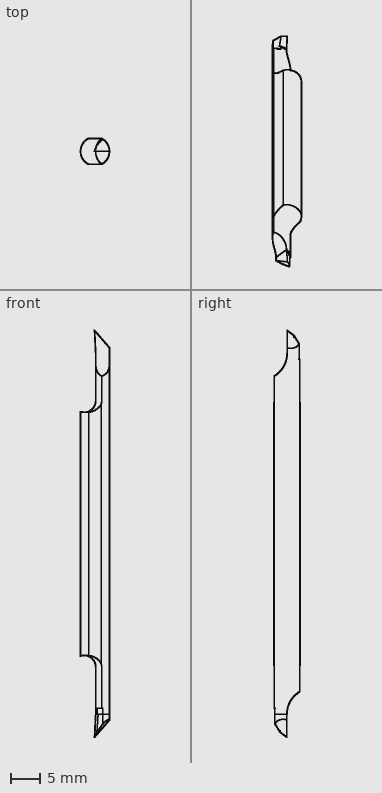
import cadquery as cq
import math

half_length = 35.0
bar_radius = 2.5
flat_y = 2.25

shoulder_z = 20.9
neck_face_x = 0.1
groove_radius = 1.95
neck_radius = 2.9
neck_center_x = neck_face_x + neck_radius

rake_end_z = 31.0
rake_runout_radius = 4.5

tip_base_z = rake_end_z
tip_x = -0.1
back_edge_z = 32.0
clearance = math.radians(18)
heel_start = (0.31, 1.15)
heel_end = (1.38, 2.15)
heel_base_z = 30.0

margin = 5.0


def bar_section(bottom_z, top_z):
    """Round bar with two side flats between two heights."""
    height = top_z - bottom_z
    rod = cq.Workplane("XY").workplane(offset=bottom_z).circle(bar_radius).extrude(height)
    flats = (
        cq.Workplane("XY").workplane(offset=bottom_z)
        .rect(4 * bar_radius, 2 * flat_y).extrude(height)
    )
    return rod.intersect(flats)


def neck_envelope():
    """Turned shape that keeps the neck, bounded below by a round-bottomed groove that forms the shoulder."""
    groove_top_z = shoulder_z + groove_radius
    groove_outer = neck_radius + 2 * groove_radius
    return (
        cq.Workplane("XZ")
        .moveTo(0, 0)
        .lineTo(groove_outer, 0)
        .lineTo(groove_outer, groove_top_z)
        .threePointArc((neck_radius + groove_radius, shoulder_z), (neck_radius, groove_top_z))
        .lineTo(neck_radius, tip_base_z)
        .lineTo(0, tip_base_z)
        .close()
        .revolve(360, (0, 0, 0), (0, 1, 0))
        .translate((neck_center_x, 0, 0))
    )


def rake_cutter():
    """Removes the -Y half above the concave run-out of the rake face."""
    runout_mid = (
        -rake_runout_radius * (1 - math.cos(math.pi / 4)),
        rake_end_z - rake_runout_radius * math.sin(math.pi / 4),
    )
    return (
        cq.Workplane("YZ")
        .moveTo(0, half_length + margin)
        .lineTo(0, rake_end_z)
        .threePointArc(runout_mid, (-rake_runout_radius, rake_end_z - rake_runout_radius))
        .lineTo(-rake_runout_radius, half_length + margin)
        .close()
        .extrude(2 * bar_radius, both=True)
    )


def beyond_plane(point, direction_a, direction_b):
    """Large block on the far side of a plane, along the cross product of two directions."""
    normal = cq.Vector(*direction_a).cross(cq.Vector(*direction_b))
    plane = cq.Plane(origin=point, xDir=direction_a, normal=normal)
    return cq.Workplane(plane).rect(half_length, half_length).extrude(2 * margin)


def heel_cutter():
    """Vertical flat that trims the corner of the tip and the top of the neck."""
    slope = (heel_end[1] - heel_start[1]) / (heel_end[0] - heel_start[0])
    start_x = -bar_radius
    end_x = bar_radius
    start_y = heel_start[1] + slope * (start_x - heel_start[0])
    end_y = heel_start[1] + slope * (end_x - heel_start[0])
    return (
        cq.Workplane("XY").workplane(offset=heel_base_z)
        .moveTo(start_x, start_y)
        .lineTo(end_x, end_y)
        .lineTo(start_x, end_y)
        .close()
        .extrude(half_length + margin - heel_base_z)
    )


def make_shank_half():
    """Upper half of the bar up to the base of the cutting tip."""
    shank = bar_section(0, tip_base_z).intersect(neck_envelope())
    return shank.cut(rake_cutter()).cut(heel_cutter())


def make_tip():
    """Upper cutting tip with a sloping end edge and a slightly relieved side edge."""
    point = (tip_x, 0, half_length)
    side_edge = (neck_face_x - tip_x, 0, tip_base_z - half_length)
    end_edge = (bar_radius - tip_x, 0, back_edge_z - half_length)
    side_clearance = (math.sin(clearance), math.cos(clearance), 0)
    end_clearance = (0, math.cos(clearance), -math.sin(clearance))
    tip = bar_section(tip_base_z, half_length).cut(rake_cutter())
    tip = tip.cut(beyond_plane(point, side_clearance, side_edge))
    tip = tip.cut(beyond_plane(point, end_edge, end_clearance))
    return tip.cut(heel_cutter())


def turn_over(shape):
    """Turns an upper-end shape 180 degrees about X to make the lower one."""
    return shape.rotate((0, 0, 0), (1, 0, 0), 180)


shank_half = make_shank_half()
tip = make_tip()

bar = shank_half.union(turn_over(shank_half)).union(tip)

lower_tip = turn_over(tip)

result = cq.Compound.makeCompound([*bar.solids().vals(), *lower_tip.solids().vals()])